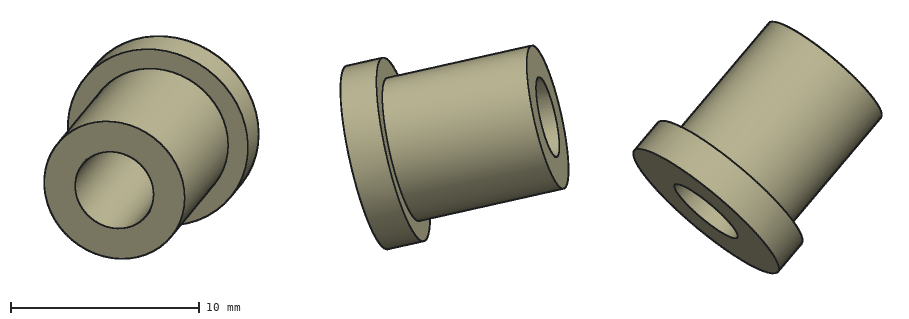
import cadquery as cq

total_length = 10.0
flange_diameter = 10.0
flange_thickness = 2.0
sleeve_diameter = 7.8
bore_diameter = 4.35

half_length = total_length / 2

flange_face = cq.Workplane("XZ", origin=(0, half_length, 0))

flange = flange_face.circle(flange_diameter / 2).extrude(flange_thickness)
sleeve = flange_face.circle(sleeve_diameter / 2).extrude(total_length)
bore = flange_face.circle(bore_diameter / 2).extrude(total_length)

result = flange.union(sleeve).cut(bore)